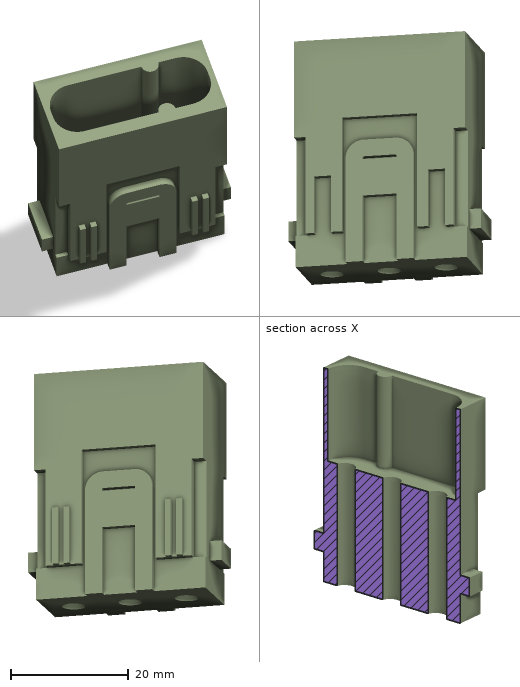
import cadquery as cq

body_x = 14.7
body_y = 30.0
height = 39.5
half_x = body_x / 2
half_y = body_y / 2

ledge_z = 5.5
foot_x = 12.0
recess_depth = half_x - foot_x / 2

cavity_x = 9.95
cavity_y = 27.95
cavity_corner = 4.3
notch_top_z = 22.5
cavity_floor_z = notch_top_z
key_radius = 1.5
key_y = 5.0

contact_diameter = 4.0
contact_pitch = 10.0
contact_count = 3

notch_size = 2.05

window_y = 13.1
window_top_z = 25.5
tongue_y = 11.9
tongue_top_z = 21.45
tongue_corner = 3.12
tongue_slot_y = 5.9
tongue_slot_top_z = 11.57
grip_z = 18.0
grip_height = 0.47
grip_chamfer = 0.15

guide_y = contact_pitch
guide_top_z = 15.45
guide_slot_width = 3.0
rib_out = 1.0
rib_width = 1.03
rib_spacing = guide_slot_width - rib_width

overall_y = 34.0
tab_out = (overall_y - body_y) / 2
tab_top_z = 8.95
front_tab_x = 7.98
back_tab_x = 6.0


def box(x_range, y_range, z_range):
    """Axis-aligned block between the given limits."""
    spans = [high - low for low, high in (x_range, y_range, z_range)]
    corner = (x_range[0], y_range[0], z_range[0])
    return cq.Workplane("XY").box(*spans, centered=False).translate(corner)


def around(centre, width):
    """Limits of a span of the given width about its centre."""
    return (centre - width / 2, centre + width / 2)


def make_block():
    foot = box(around(0, foot_x), around(0, body_y), (0, ledge_z))
    return foot.union(box(around(0, body_x), around(0, body_y), (ledge_z, height)))


def make_cavity():
    depth = height - cavity_floor_z
    floor = cq.Workplane("XY").workplane(offset=cavity_floor_z)
    pocket = floor.rect(cavity_x, cavity_y).extrude(depth).edges("|Z").fillet(cavity_corner)
    key_centres = [(-cavity_x / 2, key_y), (cavity_x / 2, key_y)]
    keys = floor.pushPoints(key_centres).circle(key_radius).extrude(depth)
    return pocket.cut(keys)


def make_contact_holes():
    holes = cq.Workplane("XY").rarray(0.4, contact_pitch, 1, contact_count)
    return holes.circle(contact_diameter / 2).extrude(height)


def make_corner_notch(side_x, side_y):
    x_range = around(side_x * (half_x - notch_size / 2), notch_size)
    y_range = around(side_y * (half_y - notch_size / 2), notch_size)
    return box(x_range, y_range, (ledge_z, notch_top_z))


def make_tongue(side):
    """Latch tongue between the recessed face and the outer face of one side."""
    x_range = around(side * (half_x - recess_depth / 2), recess_depth)
    tongue = box(x_range, around(0, tongue_y), (0, tongue_top_z))
    tongue = tongue.edges("|X and >Z").fillet(tongue_corner)
    slot = box(x_range, around(0, tongue_slot_y), (0, tongue_slot_top_z))
    grip = box(x_range, around(0, tongue_slot_y), (grip_z, grip_z + grip_height))
    grip = grip.edges("|X and >Z").chamfer(grip_chamfer)
    return tongue.cut(slot).cut(grip)


def make_side_recess(side, centre_y, width, top_z):
    """Flat pocket in one side, open downwards onto the foot."""
    x_range = around(side * (half_x - recess_depth / 2), recess_depth)
    return box(x_range, around(centre_y, width), (ledge_z, top_z))


part = make_block().cut(make_cavity()).cut(make_contact_holes())

for side_x in (-1, 1):
    for side_y in (-1, 1):
        part = part.cut(make_corner_notch(side_x, side_y))
    part = part.cut(make_side_recess(side_x, 0, window_y, window_top_z))
    part = part.union(make_tongue(side_x))

for centre_y in (-guide_y, guide_y):
    part = part.cut(make_side_recess(-1, centre_y, guide_slot_width, guide_top_z))
    for rib_y in (centre_y - rib_spacing / 2, centre_y + rib_spacing / 2):
        rib = box((half_x, half_x + rib_out), around(rib_y, rib_width), (ledge_z, guide_top_z))
        part = part.union(rib)

tab_z_range = (ledge_z, tab_top_z)
front_tab = box(around(0, front_tab_x), (-half_y - tab_out, -half_y), tab_z_range)
back_tab = box(around(0, back_tab_x), (half_y, half_y + tab_out), tab_z_range)

result = part.union(front_tab).union(back_tab)